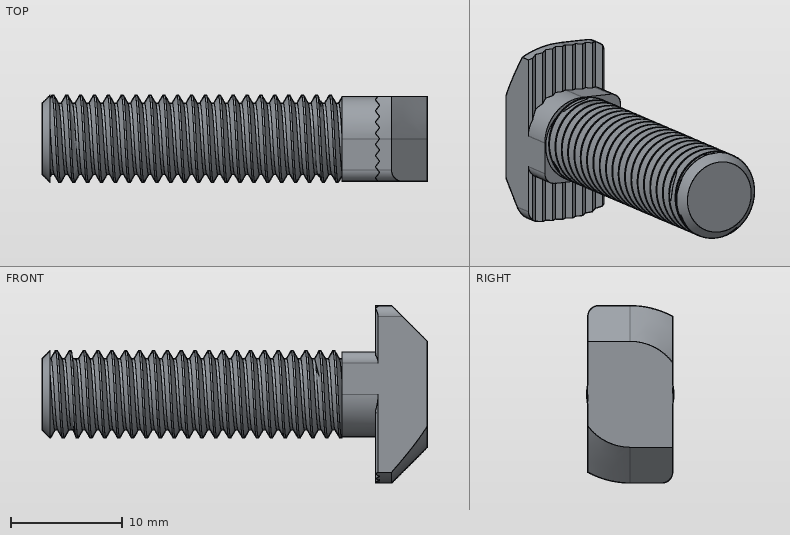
import cadquery as cq
import math

length = 34.7

major_radius = 7.88 / 2
minor_radius = 6.45 / 2
pitch = 1.25
crest_width = 0.17
flank_angle = 30.0
thread_depth = major_radius - minor_radius
tip_chamfer = thread_depth
crest_start = -0.6

width = 7.67
head_height = 16.0
corner_radius = 1.0
neck_start = 27.0
head_start = 30.0
head_bevel = 3.23

serration_pitch = 1.0
serration_depth = 0.38

overlap = 0.1


def rotated_half_turn(body):
    return body.rotate((0, 0, 0), (1, 0, 0), 180)


def quarter_turn_block(height, x_start, x_end):
    """Block along X with two opposite small corners and two arcs centred on the bolt axis,
    so that it can be turned a quarter turn inside the slot."""
    half_width = width / 2
    half_height = height / 2
    arc_end = math.sqrt(half_height**2 - half_width**2)
    arc_angle = math.asin(half_width / half_height) / 2
    arc_mid = (half_height * math.sin(arc_angle), half_height * math.cos(arc_angle))
    corner_y = half_width - corner_radius
    corner_z = half_height - corner_radius
    outline = (
        cq.Workplane("YZ", origin=(x_start, 0, 0))
        .moveTo(0, half_height)
        .threePointArc(arc_mid, (half_width, arc_end))
        .lineTo(half_width, -corner_z)
        .radiusArc((corner_y, -half_height), corner_radius)
        .lineTo(0, -half_height)
        .threePointArc((-arc_mid[0], -arc_mid[1]), (-half_width, -arc_end))
        .lineTo(-half_width, corner_z)
        .radiusArc((-corner_y, half_height), corner_radius)
        .close()
    )
    return outline.extrude(x_end - x_start)


def thread_ridge():
    """Right-handed trapezoidal ridge, trimmed flat at the tip chamfer and at the neck."""
    root_radius = minor_radius - overlap
    half_crest = crest_width / 2
    half_root = half_crest + (major_radius - root_radius) * math.tan(math.radians(flank_angle))
    turns = math.ceil((neck_start - crest_start) / pitch) + 1
    path = cq.Wire.makeHelix(pitch, turns * pitch, root_radius)
    ridge = (
        cq.Workplane("XZ")
        .polyline([
            (root_radius, -half_root),
            (major_radius, -half_crest),
            (major_radius, half_crest),
            (root_radius, half_root),
        ])
        .close()
        .sweep(cq.Workplane(path), isFrenet=True)
        .rotate((0, 0, 0), (0, 1, 0), 90)
        .translate((crest_start, 0, 0))
    )
    threaded_zone = (
        cq.Workplane("YZ", origin=(tip_chamfer, 0, 0))
        .circle(2 * major_radius)
        .extrude(neck_start - tip_chamfer)
    )
    return ridge.intersect(threaded_zone)


def shank():
    """Thread core and ridge, behind a conical tip that flares from the minor to the major radius."""
    core = cq.Workplane("YZ").circle(minor_radius).extrude(neck_start + overlap)
    tip = (
        cq.Workplane("XZ")
        .polyline([
            (0, 0),
            (0, major_radius - tip_chamfer),
            (tip_chamfer, major_radius),
            (tip_chamfer, 0),
        ])
        .close()
        .revolve(360, (0, 0), (1, 0))
    )
    return core.union(thread_ridge()).union(tip)


def bevel_profile():
    """Triangle in the XZ plane that covers the corner removed from the +Z end of the head."""
    half_height = head_height / 2
    reach = head_bevel + 2 * overlap
    return (
        cq.Workplane("XZ")
        .moveTo(length + overlap, half_height + overlap)
        .line(-reach, 0)
        .line(reach, -reach)
        .close()
    )


def head():
    """Hammer head: each end is bevelled flat over one half and conically over the other."""
    body = quarter_turn_block(head_height, head_start, length)
    flat_bevel = bevel_profile().extrude(width)
    conical_bevel = bevel_profile().revolve(90, (0, 0), (-1, 0))
    for bevel in (flat_bevel, conical_bevel):
        body = body.cut(bevel).cut(rotated_half_turn(bevel))
    return body.cut(serrations())


def serrations():
    """V grooves running along Z, with sharp teeth between them and one groove at Y = 0."""
    grooves_per_side = math.ceil(width / 2 / serration_pitch)
    edge = grooves_per_side * serration_pitch
    tooth_line = []
    for step in range(-2 * grooves_per_side, 2 * grooves_per_side + 1):
        depth = serration_depth if step % 2 == 0 else 0
        tooth_line.append((head_start + depth, step * serration_pitch / 2))
    front = head_start - overlap
    return (
        cq.Workplane("XY")
        .polyline([(front, -edge)] + tooth_line + [(front, edge)])
        .close()
        .extrude(head_height, both=True)
    )


neck = quarter_turn_block(width, neck_start, head_start + 2 * serration_depth)

bolt = shank().union(neck).union(head())
result = cq.Workplane(bolt.solids().val())